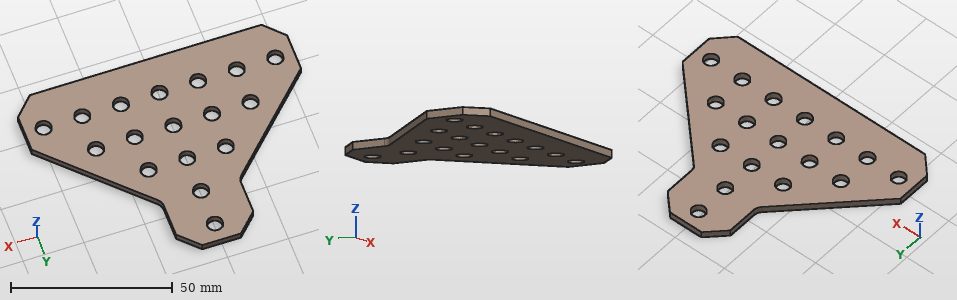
import cadquery as cq

length = 88.4
height = 69.6
thickness = 2.5

pitch = (2 * height - length) / 4
hole_diameter = 5.0
holes_per_row = [7, 5, 3, 1, 1]

half_length = length / 2
corner_cut = pitch / 2
half_base = 3 * pitch
neck_half_width = pitch
shoulder_y = 1.5 * pitch
neck_base_y = shoulder_y + half_length - neck_half_width
neck_fillet = 3.6

right_side = [
    (half_base, 0),
    (half_length, corner_cut),
    (half_length, shoulder_y),
    (neck_half_width, neck_base_y),
    (neck_half_width, height - corner_cut),
    (neck_half_width - corner_cut, height),
]
left_side = [(-x, y) for x, y in reversed(right_side)]

plate = cq.Workplane("XY").polyline(right_side + left_side).close().extrude(thickness)

for side in (-1, 1):
    inner_corner = (side * neck_half_width, neck_base_y, thickness / 2)
    plate = plate.edges(cq.selectors.NearestToPointSelector(inner_corner)).fillet(neck_fillet)

hole_centers = [
    ((column - (count - 1) / 2) * pitch, (row + 1) * pitch)
    for row, count in enumerate(holes_per_row)
    for column in range(count)
]
holes = cq.Workplane("XY").pushPoints(hole_centers).circle(hole_diameter / 2).extrude(thickness)

result = plate.cut(holes)